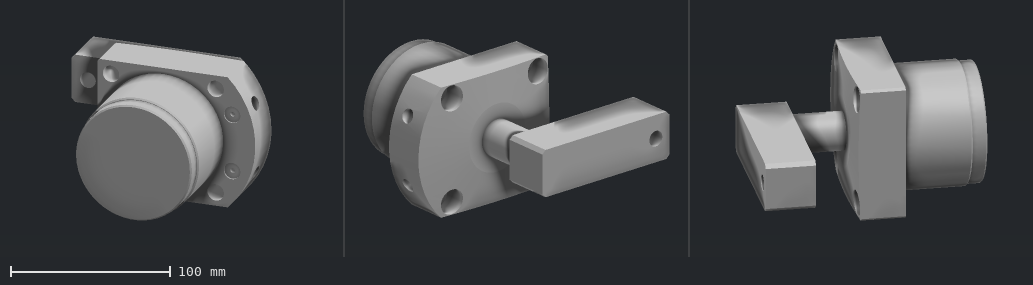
import cadquery as cq
import math


flange_half = 44.0
flange_arc_radius = 61.5
flange_corner_chamfer = 1.5
flange_thickness = 32.0
land_radius = 23.0
back_slope = math.radians(5)

barrel_radius = 40.0
barrel_length = 43.5
barrel_chamfer = 1.0

overall_front_length = 53.0
cap_radius = 38.75
cap_chamfer = 1.0
cap_length = overall_front_length - barrel_length

bolt_offset = 35.0
bolt_hole_diameter = 11.0
bolt_counterbore_diameter = 17.0
bolt_counterbore_floor = 14.8

port_x = 46.0
port_z = 19.0
seal_recess_diameter = 11.0
seal_recess_depth = 1.0
feed_hole_diameter = 3.0
side_port_diameter = 9.6
side_port_y = 12.7

rod_diameter = 25.0
rod_length = 33.0
arm_section = 32.0
arm_left = -86.0
arm_right = 17.5
arm_chamfer = 2.5
arm_hole_diameter = 10.5
arm_hole_x = -75.0
arm_front = flange_thickness + rod_length


def cylinder_y(diameter, y_start, length, x=0.0, z=0.0):
    """Cylinder parallel to Y, running from y_start towards +Y."""
    solid = cq.Solid.makeCylinder(diameter / 2, length, cq.Vector(x, y_start, z), cq.Vector(0, 1, 0))
    return cq.Workplane(obj=solid)


def make_flange():
    """Plate with three straight sides, one round side and a shallow conical back face."""
    arc_end_x = math.sqrt(flange_arc_radius**2 - flange_half**2)
    plate = (
        cq.Workplane("XZ")
        .moveTo(arc_end_x, -flange_half)
        .threePointArc((flange_arc_radius, 0), (arc_end_x, flange_half))
        .lineTo(-flange_half, flange_half)
        .lineTo(-flange_half, -flange_half)
        .close()
        .extrude(-flange_thickness)
        .edges("|Y and <X")
        .chamfer(flange_corner_chamfer)
    )
    cone_radius = flange_half + flange_arc_radius
    cone_drop = (cone_radius - land_radius) * math.tan(back_slope)
    envelope = (
        cq.Workplane("XY")
        .polyline([
            (0, 0),
            (cone_radius, 0),
            (cone_radius, flange_thickness - cone_drop),
            (land_radius, flange_thickness),
            (0, flange_thickness),
        ])
        .close()
        .revolve(360, (0, 0, 0), (0, 1, 0))
    )
    return plate.intersect(envelope)


def make_barrel():
    """Cylinder in front of the flange, chamfered where it meets the cap."""
    return (
        cylinder_y(2 * barrel_radius, -barrel_length, barrel_length)
        .faces("<Y")
        .chamfer(barrel_chamfer)
    )


def cut_bolt_holes(body):
    """Four through holes, counterbored from the back."""
    for x in (-bolt_offset, bolt_offset):
        for z in (-bolt_offset, bolt_offset):
            body = body.cut(cylinder_y(bolt_hole_diameter, 0, flange_thickness, x, z))
            body = body.cut(
                cylinder_y(bolt_counterbore_diameter, bolt_counterbore_floor, flange_thickness, x, z)
            )
    return body


def cut_ports(body):
    """Two oil ports, each a radial side hole joined to a sealed feed hole in the front face."""
    feed_distance = math.hypot(port_x, port_z)
    inner_fraction = 1 - feed_hole_diameter / feed_distance
    for z in (-port_z, port_z):
        body = body.cut(cylinder_y(seal_recess_diameter, 0, seal_recess_depth, port_x, z))
        body = body.cut(cylinder_y(feed_hole_diameter, 0, side_port_y, port_x, z))
        side_port = cq.Solid.makeCylinder(
            side_port_diameter / 2,
            flange_arc_radius,
            cq.Vector(port_x * inner_fraction, side_port_y, z * inner_fraction),
            cq.Vector(port_x, 0, z),
        )
        body = body.cut(cq.Workplane(obj=side_port))
    return body


def make_housing():
    return cut_ports(cut_bolt_holes(make_flange().union(make_barrel())))


def make_end_cap():
    return cylinder_y(2 * cap_radius, -overall_front_length, cap_length).faces("<Y").chamfer(cap_chamfer)


def make_rod():
    return cylinder_y(rod_diameter, flange_thickness, rod_length)


def make_arm():
    """Square bar with its four end corners chamfered and one clamping screw hole."""
    bar = (
        cq.Workplane("XY")
        .box(arm_right - arm_left, arm_section, arm_section)
        .translate(((arm_left + arm_right) / 2, arm_front + arm_section / 2, 0))
        .edges("|Y")
        .chamfer(arm_chamfer)
    )
    return bar.cut(cylinder_y(arm_hole_diameter, arm_front, arm_section, arm_hole_x))


housing = make_housing()
end_cap = make_end_cap()
rod = make_rod()
arm = make_arm()

result = cq.Compound.makeCompound([housing.val(), end_cap.val(), rod.val(), arm.val()])